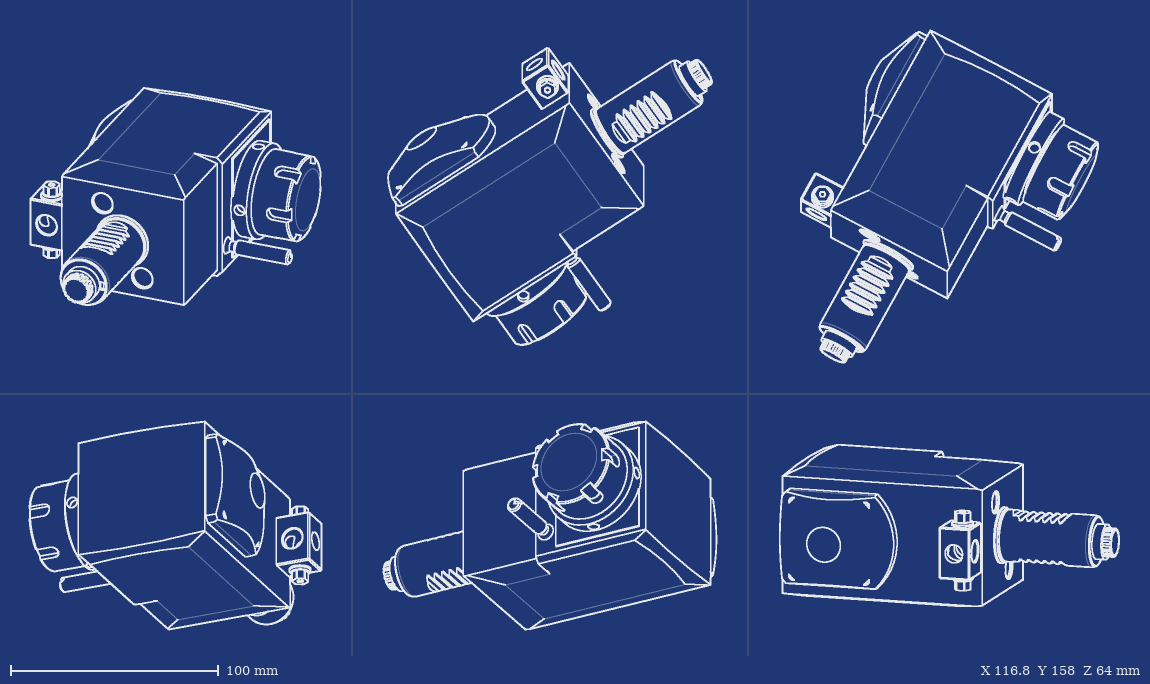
import cadquery as cq
import math


CUT_CLEARANCE = 1.6

OVERALL_LENGTH = 158.0
HOUSING_LENGTH = 101.0
HOUSING_HEIGHT = 64.0
HALF_HEIGHT = HOUSING_HEIGHT / 2
LEFT_X = -31.6
RIGHT_X = 32.0
WIDE_X = 34.9
WIDE_START_Y = 41.0
WIDE_CHAMFER = WIDE_X - RIGHT_X
SIDE_CHAMFER_RUN = 11.8
SIDE_CHAMFER_DROP = 3.2
FRONT_CHAMFER_RUN = 16.6
FRONT_CHAMFER_DROP = 3.6
CROWN_RADIUS = 493.0
CROWN_CENTER_X = 6.3
CROWN_REAR_HEIGHT = 30.2
CROWN_SLOPE = 0.33
MOUNT_HOLE_RADIUS = 5.5
MOUNT_HOLE_DEPTH = 1.3
MOUNT_HOLE_CHAMFER = 0.5
MOUNT_HOLE_X = 10.5
MOUNT_HOLE_Z = 18.2

SHANK_RADIUS = 12.6
COLLAR_RADIUS = 13.6
COLLAR_END_Y = -1.5
COLLAR_CHAMFER = 0.8
RELIEF_RADIUS = 12.3
RELIEF_END_Y = -2.4
SHANK_TAPER_Y = -46.0
SHANK_END_Y = -48.0
SHANK_END_RADIUS = 12.2
SHANK_END_CHAMFER = 0.5
PILOT_RADIUS = 8.5
PILOT_END_Y = -52.6
SPLINE_RADIUS = 7.0
SPLINE_END_Y = HOUSING_LENGTH - OVERALL_LENGTH
SPLINE_CHAMFER = 0.5
SPLINE_COUNT = 16
SPLINE_GROOVE_WIDTH = 1.3
SPLINE_GROOVE_DEPTH = 1.0
KEYWAY_OUTER_X = 10.7
KEYWAY_WIDTH = 4.1
KEYWAY_DEPTH = 1.6

GROOVE_COUNT = 6
FIRST_GROOVE_Y = -11.7
LAST_GROOVE_Y = -31.9
TOOTH_PITCH = (FIRST_GROOVE_Y - LAST_GROOVE_Y) / (GROOVE_COUNT - 1)
GROOVE_BOTTOM_WIDTH = 0.6
CREST_WIDTH = 0.8
CREST_HEIGHT = 11.2
ROOT_HEIGHT = 9.5
TOOTH_FLAT_START_Y = -7.5
TOOTH_FLAT_END_Y = -33.3
TOOTH_END_SLOPE = 1.0

SPINDLE_Y = 74.9
PAD_HALF_WIDTH = 22.6
PAD_HALF_HEIGHT = 26.7
PAD_END_X = 35.7
FLANGE_RADIUS = 23.5
FLANGE_END_X = 43.0
NECK_RADIUS = 16.5
NUT_RADIUS = 21.0
NUT_START_X = 44.4
NUT_SHOULDER_X = 62.5
NUT_BEVEL_X = 63.4
NUT_BEVEL_RADIUS = 20.4
NUT_END_X = 65.0
NUT_END_RADIUS = 15.2
FLANGE_HOLE_X = 39.3
FLANGE_HOLE_RADIUS = 2.7
FLANGE_HOLE_DEPTH = 4.0
FLANGE_HOLE_COUNT = 4
DRILL_POINT_HEIGHT = 1.6
NUT_SLOT_COUNT = 6
NUT_SLOT_WIDTH = 6.2
NUT_SLOT_FLOOR = 17.5
NUT_SLOT_START_X = 52.5

PIN_Y = 46.5
PIN_Z = -17.4
PIN_DIAMETER = 7.1
PIN_RADIUS = PIN_DIAMETER / 2
PIN_BASE_RADIUS = 4.1
PIN_NECK_RADIUS = 2.5
PIN_NECK_START_X = 37.1
PIN_NECK_END_X = 39.5
PIN_BODY_START_X = 40.6
PIN_END_X = 68.0
PIN_CHAMFER = 0.8
PIN_OUTLET_RADIUS = 1.9
PIN_OUTLET_DEPTH = 1.9
PIN_OUTLET_ANGLE = 50

COVER_RADIUS = 31.9
COVER_RIM_X = -37.0
COVER_TIP_X = -47.9
COVER_TIP_RADIUS = 8.5
COVER_HALF_HEIGHT = 23.0
COVER_BACK_Y = 99.5
COVER_CORNER = 2.2
FACET_START_X = -34.9
FACET_ANGLE = 16
COVER_SCREW_OFFSET = 18.0
COVER_SCREW_RADIUS = 2.4
COVER_SCREW_TOP_X = -39.3

BLOCK_X = -48.8
BLOCK_FRONT_Y = 0.8
BLOCK_BACK_Y = 16.3
BLOCK_HALF_HEIGHT = 12.6
BLOCK_CHAMFER = 0.6
BLOCK_HOLE_X = -40.0
CROSS_BORE_RADIUS = 5.0
CROSS_BORE_CHAMFER = 0.5
INLET_Y = 8.7
INLET_RADIUS = 4.5
INLET_HEX_DIAMETER = 3.5
INLET_HEX_DEPTH = 0.8
SCREW_Y = 7.1
SCREW_COLLAR_BASE_RADIUS = 5.2
SCREW_COLLAR_TOP_RADIUS = 4.5
SCREW_COLLAR_RIM_Z = 13.5
SCREW_COLLAR_TOP_Z = 14.4
SCREW_TOP_Z = 19.0
SCREW_FLATS = 7.1
SCREW_RADIUS = 4.0
SCREW_SOCKET_DIAMETER = 2.8
SCREW_SOCKET_DEPTH = 1.0


def turned_about_x(points, y=0.0, z=0.0):
    """Solid of revolution from (x, radius) points, about a line parallel to X."""
    outline = [(points[0][0], 0)] + points + [(points[-1][0], 0)]
    profile = cq.Workplane("XY").polyline(outline).close()
    return profile.revolve(360, (0, 0, 0), (1, 0, 0)).translate((0, y, z))


def turned_about_y(points, x=0.0, z=0.0):
    """Solid of revolution from (y, radius) points, about a line parallel to Y."""
    outline = [(0, points[0][0])] + [(r, y) for y, r in points]
    end_y, end_radius = points[-1]
    if end_radius > 0:
        outline.append((0, end_y))
    profile = cq.Workplane("XY").polyline(outline).close()
    return profile.revolve(360, (0, 0, 0), (0, 1, 0)).translate((x, 0, z))


def box(x_range, y_range, z_range):
    """Axis-aligned box between the given limits."""
    sizes = [high - low for low, high in (x_range, y_range, z_range)]
    corner = (x_range[0], y_range[0], z_range[0])
    return cq.Workplane("XY").box(*sizes, centered=False).translate(corner)


def mirrored_outline(upper):
    """Close an upper outline with its mirror image below the first coordinate axis."""
    return upper + [(a, -b) for a, b in reversed(upper)]


def prism_along_y(upper, start_y, end_y):
    """Extrude an (x, z) outline, symmetric about Z = 0, from start_y to end_y."""
    outline = cq.Workplane("XZ", origin=(0, start_y, 0)).polyline(mirrored_outline(upper)).close()
    return outline.extrude(start_y - end_y)


def prism_along_x(upper, start_x, end_x):
    """Extrude a (y, z) outline, symmetric about Z = 0, from start_x to end_x."""
    outline = cq.Workplane("YZ", origin=(start_x, 0, 0)).polyline(mirrored_outline(upper)).close()
    return outline.extrude(end_x - start_x)


def crown(side):
    """Shallow cone about a line parallel to Y that slopes the rear of one Z side."""
    front_radius = CROWN_RADIUS + CROWN_SLOPE * HOUSING_LENGTH
    center_z = side * (CROWN_REAR_HEIGHT - CROWN_RADIUS)
    return turned_about_y([(0, front_radius), (HOUSING_LENGTH, CROWN_RADIUS)], CROWN_CENTER_X, center_z)


def make_housing():
    """Block with sloped long edges, a sloped front and a crowned rear."""
    side_z = HALF_HEIGHT - SIDE_CHAMFER_DROP
    left_slope = [(LEFT_X, side_z), (LEFT_X + SIDE_CHAMFER_RUN, HALF_HEIGHT)]
    narrow_slope = [(RIGHT_X - SIDE_CHAMFER_RUN, HALF_HEIGHT), (RIGHT_X, side_z)]
    wide_slope = [(RIGHT_X, HALF_HEIGHT), (WIDE_X, HALF_HEIGHT - WIDE_CHAMFER)]
    narrow = prism_along_y(left_slope + narrow_slope, 0, WIDE_START_Y)
    wide = prism_along_y(left_slope + wide_slope, WIDE_START_Y, HOUSING_LENGTH)

    front_slope = [(0, HALF_HEIGHT - FRONT_CHAMFER_DROP), (FRONT_CHAMFER_RUN, HALF_HEIGHT)]
    side_envelope = prism_along_x(front_slope + [(HOUSING_LENGTH, HALF_HEIGHT)], LEFT_X, WIDE_X)

    housing = narrow.union(wide).intersect(side_envelope)
    for side in (1, -1):
        housing = housing.intersect(crown(side))
    for side in (1, -1):
        recess = turned_about_y(
            [
                (0, MOUNT_HOLE_RADIUS),
                (MOUNT_HOLE_CHAMFER, MOUNT_HOLE_RADIUS - MOUNT_HOLE_CHAMFER),
                (MOUNT_HOLE_DEPTH, MOUNT_HOLE_RADIUS - MOUNT_HOLE_CHAMFER),
            ],
            -side * MOUNT_HOLE_X,
            side * MOUNT_HOLE_Z,
        )
        housing = housing.cut(recess)
    return housing


def clamping_teeth_cutter():
    """Material removed above the toothed flat on the +Z side of the shank."""
    clear_z = SHANK_RADIUS + CUT_CLEARANCE
    end_run = (clear_z - CREST_HEIGHT) / TOOTH_END_SLOPE
    half_bottom = GROOVE_BOTTOM_WIDTH / 2
    half_top = (TOOTH_PITCH - CREST_WIDTH) / 2
    outline = [(TOOTH_FLAT_START_Y + end_run, clear_z), (TOOTH_FLAT_START_Y, CREST_HEIGHT)]
    for i in range(GROOVE_COUNT):
        y = FIRST_GROOVE_Y - i * TOOTH_PITCH
        outline += [
            (y + half_top, CREST_HEIGHT),
            (y + half_bottom, ROOT_HEIGHT),
            (y - half_bottom, ROOT_HEIGHT),
            (y - half_top, CREST_HEIGHT),
        ]
    outline += [(TOOTH_FLAT_END_Y, CREST_HEIGHT), (TOOTH_FLAT_END_Y - end_run, clear_z)]
    return cq.Workplane("YZ").polyline(outline).close().extrude(SHANK_RADIUS, both=True)


def make_shank():
    """Round shank with collar, two toothed sides, pilot and splined end."""
    shank = turned_about_y([
        (0, COLLAR_RADIUS),
        (COLLAR_END_Y + COLLAR_CHAMFER, COLLAR_RADIUS),
        (COLLAR_END_Y, COLLAR_RADIUS - COLLAR_CHAMFER),
        (COLLAR_END_Y, RELIEF_RADIUS),
        (RELIEF_END_Y, RELIEF_RADIUS),
        (RELIEF_END_Y, SHANK_RADIUS),
        (SHANK_TAPER_Y, SHANK_RADIUS),
        (SHANK_END_Y + SHANK_END_CHAMFER, SHANK_END_RADIUS),
        (SHANK_END_Y, SHANK_END_RADIUS - SHANK_END_CHAMFER),
        (SHANK_END_Y, PILOT_RADIUS),
        (PILOT_END_Y, PILOT_RADIUS),
        (PILOT_END_Y, SPLINE_RADIUS),
        (SPLINE_END_Y + SPLINE_CHAMFER, SPLINE_RADIUS),
        (SPLINE_END_Y, SPLINE_RADIUS - SPLINE_CHAMFER),
    ])
    teeth = clamping_teeth_cutter()
    shank = shank.cut(teeth).cut(teeth.mirror("XY"))

    keyway = box(
        (PILOT_RADIUS, KEYWAY_OUTER_X),
        (SHANK_END_Y, SHANK_END_Y + KEYWAY_DEPTH),
        (-KEYWAY_WIDTH / 2, KEYWAY_WIDTH / 2),
    )
    shank = shank.cut(keyway)

    groove = box(
        (SPLINE_RADIUS - SPLINE_GROOVE_DEPTH, SPLINE_RADIUS + CUT_CLEARANCE),
        (SPLINE_END_Y, PILOT_END_Y),
        (-SPLINE_GROOVE_WIDTH / 2, SPLINE_GROOVE_WIDTH / 2),
    )
    spline_step = 360 / SPLINE_COUNT
    for i in range(SPLINE_COUNT):
        shank = shank.cut(groove.rotate((0, 0, 0), (0, 1, 0), i * spline_step))
    return shank


def flange_hole():
    """Pointed radial hole on the -Y side of the flange, about the spindle axis."""
    floor_y = -FLANGE_RADIUS + FLANGE_HOLE_DEPTH
    return turned_about_y([
        (-FLANGE_RADIUS - CUT_CLEARANCE, FLANGE_HOLE_RADIUS),
        (floor_y, FLANGE_HOLE_RADIUS),
        (floor_y + DRILL_POINT_HEIGHT, 0),
    ], FLANGE_HOLE_X)


def nut_slot():
    """Round-ended wrench slot on the -Y side of the nut, about the spindle axis."""
    half_width = NUT_SLOT_WIDTH / 2
    arc_x = NUT_SLOT_START_X + half_width
    outline = (
        cq.Workplane("XZ", origin=(0, -NUT_SLOT_FLOOR, 0))
        .moveTo(NUT_END_X, half_width)
        .lineTo(arc_x, half_width)
        .threePointArc((NUT_SLOT_START_X, 0), (arc_x, -half_width))
        .lineTo(NUT_END_X, -half_width)
        .close()
    )
    return outline.extrude(NUT_RADIUS)


def make_spindle():
    """Mounting pad, flange with radial holes and slotted clamping nut."""
    spindle = turned_about_x([
        (RIGHT_X, FLANGE_RADIUS),
        (FLANGE_END_X, FLANGE_RADIUS),
        (FLANGE_END_X, NECK_RADIUS),
        (NUT_START_X, NECK_RADIUS),
        (NUT_START_X, NUT_RADIUS),
        (NUT_SHOULDER_X, NUT_RADIUS),
        (NUT_BEVEL_X, NUT_BEVEL_RADIUS),
        (NUT_END_X, NUT_END_RADIUS),
    ])
    for cutter, count in ((flange_hole(), FLANGE_HOLE_COUNT), (nut_slot(), NUT_SLOT_COUNT)):
        for i in range(count):
            spindle = spindle.cut(cutter.rotate((0, 0, 0), (1, 0, 0), i * 360 / count))
    pad = box(
        (RIGHT_X, PAD_END_X),
        (-PAD_HALF_WIDTH, PAD_HALF_WIDTH),
        (-PAD_HALF_HEIGHT, PAD_HALF_HEIGHT),
    )
    return spindle.union(pad).translate((0, SPINDLE_Y, 0))


def make_pin():
    """Nozzle pin with flared base, neck and an outlet at its tip aimed at the spindle axis."""
    pin = turned_about_x([
        (RIGHT_X, PIN_BASE_RADIUS),
        (WIDE_X, PIN_BASE_RADIUS),
        (PIN_NECK_START_X, PIN_NECK_RADIUS),
        (PIN_NECK_END_X, PIN_NECK_RADIUS),
        (PIN_BODY_START_X, PIN_RADIUS),
        (PIN_END_X - PIN_CHAMFER, PIN_RADIUS),
        (PIN_END_X, PIN_RADIUS - PIN_CHAMFER),
    ])
    outlet = turned_about_x([(-PIN_OUTLET_DEPTH, PIN_OUTLET_RADIUS), (PIN_RADIUS, PIN_OUTLET_RADIUS)])
    outlet = outlet.rotate((0, 0, 0), (0, 0, 1), PIN_OUTLET_ANGLE)
    outlet = outlet.translate((PIN_END_X - PIN_CHAMFER, PIN_RADIUS - PIN_CHAMFER, 0))
    spindle_direction = math.degrees(math.atan2(-PIN_Z, SPINDLE_Y - PIN_Y))
    outlet = outlet.rotate((0, 0, 0), (1, 0, 0), spindle_direction)
    return pin.cut(outlet).translate((0, PIN_Y, PIN_Z))


def make_cover():
    """Conical cover trimmed flat on three sides, with four screw heads."""
    cone = turned_about_x([
        (COVER_TIP_X, COVER_TIP_RADIUS),
        (COVER_RIM_X, COVER_RADIUS),
        (LEFT_X, COVER_RADIUS),
    ], SPINDLE_Y)
    trim = prism_along_x([
        (SPINDLE_Y - COVER_RADIUS, COVER_HALF_HEIGHT),
        (COVER_BACK_Y - COVER_CORNER, COVER_HALF_HEIGHT),
        (COVER_BACK_Y, COVER_HALF_HEIGHT - COVER_CORNER),
    ], COVER_TIP_X, LEFT_X)
    facet_drop = (FACET_START_X - COVER_TIP_X) * math.tan(math.radians(FACET_ANGLE))
    facets = prism_along_y([
        (COVER_TIP_X, COVER_HALF_HEIGHT - facet_drop),
        (FACET_START_X, COVER_HALF_HEIGHT),
        (LEFT_X, COVER_HALF_HEIGHT),
    ], SPINDLE_Y - COVER_RADIUS, COVER_BACK_Y)
    cover = cone.intersect(trim).intersect(facets)
    screw_line = [(COVER_SCREW_TOP_X, COVER_SCREW_RADIUS), (LEFT_X, COVER_SCREW_RADIUS)]
    for y_side in (1, -1):
        for z_side in (1, -1):
            y = SPINDLE_Y + y_side * COVER_SCREW_OFFSET
            cover = cover.union(turned_about_x(screw_line, y, z_side * COVER_SCREW_OFFSET))
    return cover


def hexagon(across_corners, bottom_z, height):
    """Hexagonal prism about Z with two corners on the Y axis."""
    prism = cq.Workplane("XY").polygon(6, across_corners).extrude(height)
    return prism.rotate((0, 0, 0), (0, 0, 1), 90).translate((0, 0, bottom_z))


def block_screw():
    """Flanged hexagonal screw standing on the top of the coolant block."""
    base_z = BLOCK_HALF_HEIGHT - BLOCK_CHAMFER
    collar = (
        cq.Workplane("XZ")
        .polyline([
            (0, base_z),
            (SCREW_COLLAR_BASE_RADIUS, base_z),
            (SCREW_COLLAR_BASE_RADIUS, SCREW_COLLAR_RIM_Z),
            (SCREW_COLLAR_TOP_RADIUS, SCREW_COLLAR_TOP_Z),
            (0, SCREW_COLLAR_TOP_Z),
        ])
        .close()
        .revolve(360, (0, 0, 0), (0, 1, 0))
    )
    head_height = SCREW_TOP_Z - base_z
    head = hexagon(SCREW_FLATS / math.cos(math.pi / 6), base_z, head_height)
    round_limit = cq.Workplane("XY", origin=(0, 0, base_z)).circle(SCREW_RADIUS).extrude(head_height)
    socket = hexagon(SCREW_SOCKET_DIAMETER, SCREW_TOP_Z - SCREW_SOCKET_DEPTH, SCREW_SOCKET_DEPTH)
    screw = collar.union(head.intersect(round_limit)).cut(socket)
    return screw.translate((BLOCK_HOLE_X, SCREW_Y, 0))


def make_block():
    """Coolant block with a through cross bore, a side inlet and two screws."""
    block = box(
        (BLOCK_X, LEFT_X),
        (BLOCK_FRONT_Y, BLOCK_BACK_Y),
        (-BLOCK_HALF_HEIGHT, BLOCK_HALF_HEIGHT),
    )
    block = block.faces("<X or >Z or <Z").edges("not >X").chamfer(BLOCK_CHAMFER)
    screw = block_screw()
    block = block.union(screw).union(screw.mirror("XY"))

    mouth_radius = CROSS_BORE_RADIUS + CROSS_BORE_CHAMFER
    cross_bore = turned_about_y([
        (BLOCK_FRONT_Y, mouth_radius),
        (BLOCK_FRONT_Y + CROSS_BORE_CHAMFER, CROSS_BORE_RADIUS),
        (BLOCK_BACK_Y - CROSS_BORE_CHAMFER, CROSS_BORE_RADIUS),
        (BLOCK_BACK_Y, mouth_radius),
    ], BLOCK_HOLE_X)
    inlet = turned_about_x([(BLOCK_X, INLET_RADIUS), (LEFT_X, INLET_RADIUS)], INLET_Y)
    return block.cut(cross_bore).cut(inlet)


def inlet_hex():
    """Small hexagonal socket in the housing wall at the end of the inlet."""
    socket = hexagon(INLET_HEX_DIAMETER, 0, INLET_HEX_DEPTH).rotate((0, 0, 0), (0, 0, 1), 90)
    return socket.rotate((0, 0, 0), (0, 1, 0), 90).translate((LEFT_X, INLET_Y, 0))


result = (
    make_housing()
    .cut(inlet_hex())
    .union(make_shank())
    .union(make_spindle())
    .union(make_pin())
    .union(make_cover())
    .union(make_block())
)